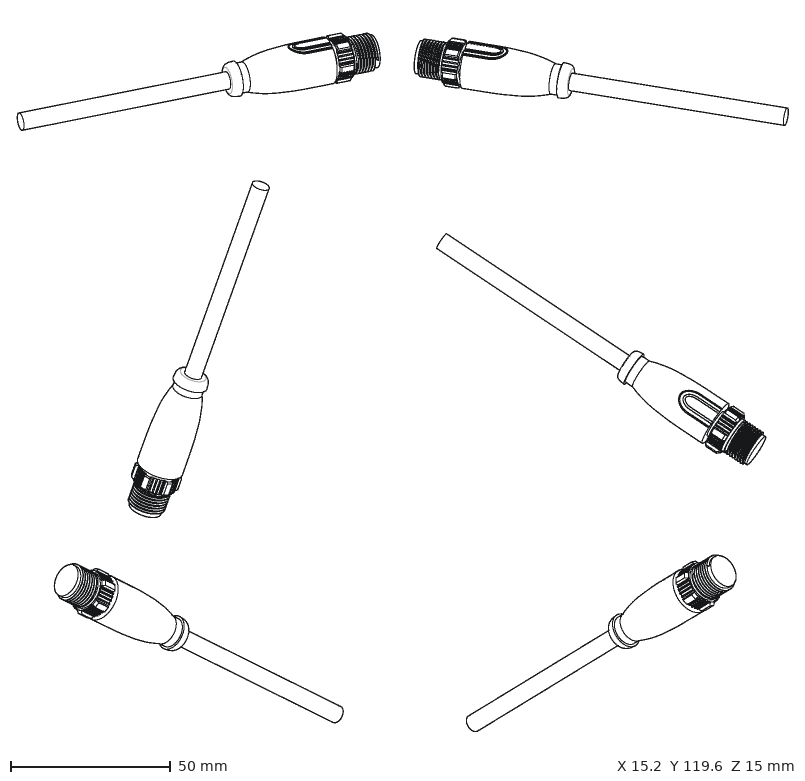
import cadquery as cq
import math


COLLAR_START = 8.2
NUT_START = 9.1
NUT_END = 14.35
BODY_START = 15.5
GROOVE_START = 43.8
FLANGE_START = 46.5
FLANGE_END = 49.6
CABLE_END = 119.6

CORE_RADIUS = 5.3
THREAD_RADIUS = 6.0
NUT_ROOT_RADIUS = 6.5
NUT_RIB_RADIUS = 6.9
NUT_LUG_RADIUS = 7.6
NECK_RADIUS = 4.6
BODY_RADIUS = 7.5
GROOVE_RADIUS = 9.7 / 2
FLANGE_RADIUS = 5.65
FLANGE_FACE_RADIUS = 4.2
CABLE_RADIUS = 5.6 / 2

TAPER_DEGREE = 4

THREAD_PITCH = 1.0
THREAD_START = 1.0
THREAD_END = 8.0
THREAD_ROOT_WIDTH = 0.7
THREAD_CREST_WIDTH = 0.2
THREAD_EMBED = 0.1

LUG_COUNT = 6
LUG_WIDTH = 2.0
RIB_WIDTH = 0.4
RIB_PITCH_ANGLE = 10.0
RIBS_PER_SECTOR = 4
NUT_FACE_RADIUS = 6.7
NUT_FRONT_CHAMFER_LENGTH = 0.8
NUT_REAR_CHAMFER = 0.45

LABEL_DEPTH = 0.3
LABEL_SHOULDER = 23.8
OUTER_GROOVE_HALF_WIDTH = 3.75
OUTER_GROOVE_TIP = 28.9
OUTER_GROOVE_WIDTH = 0.35
INNER_GROOVE_HALF_WIDTH = 2.35
INNER_GROOVE_TIP = 27.5
INNER_GROOVE_WIDTH = 0.7


def rod(start, end, radius):
    """Cylinder on the part axis between two stations."""
    return cq.Workplane("XZ", origin=(0, -start, 0)).circle(radius).extrude(end - start)


def thread_ridge():
    """Right-hand helical ridge that overlaps the core slightly."""
    base_radius = CORE_RADIUS - THREAD_EMBED
    helix = cq.Wire.makeHelix(THREAD_PITCH, THREAD_END - THREAD_START, base_radius)
    profile = (
        cq.Workplane("XZ")
        .moveTo(base_radius, -THREAD_ROOT_WIDTH / 2)
        .lineTo(THREAD_RADIUS, -THREAD_CREST_WIDTH / 2)
        .lineTo(THREAD_RADIUS, THREAD_CREST_WIDTH / 2)
        .lineTo(base_radius, THREAD_ROOT_WIDTH / 2)
        .close()
    )
    ridge = profile.sweep(cq.Workplane(obj=helix), isFrenet=True)
    return ridge.rotate((0, 0, 0), (1, 0, 0), 90).translate((0, -THREAD_START, 0))


def grip_bar(angle, width, outer_radius):
    """Axial bar on the nut, standing out to outer_radius at the given angle from +X."""
    length = NUT_END - NUT_START
    bar = cq.Workplane("XY").box(outer_radius, length, width, centered=(False, True, True))
    bar = bar.translate((0, -(NUT_START + NUT_END) / 2, 0))
    return bar.rotate((0, 0, 0), (0, 1, 0), angle)


def nut():
    """Knurled coupling nut with both end edges chamfered."""
    grip = rod(NUT_START, NUT_END, NUT_ROOT_RADIUS)
    sector = 360 / LUG_COUNT
    first_rib = sector / 2 - RIB_PITCH_ANGLE * (RIBS_PER_SECTOR - 1) / 2
    for lug in range(LUG_COUNT):
        lug_angle = lug * sector
        grip = grip.union(grip_bar(lug_angle, LUG_WIDTH, NUT_LUG_RADIUS))
        for rib in range(RIBS_PER_SECTOR):
            rib_angle = lug_angle + first_rib + rib * RIB_PITCH_ANGLE
            grip = grip.union(grip_bar(rib_angle, RIB_WIDTH, NUT_RIB_RADIUS))
    corner_radius = math.hypot(NUT_LUG_RADIUS, LUG_WIDTH / 2)
    envelope = (
        cq.Workplane("XY")
        .moveTo(0, -NUT_START)
        .lineTo(NUT_FACE_RADIUS, -NUT_START)
        .lineTo(corner_radius, -(NUT_START + NUT_FRONT_CHAMFER_LENGTH))
        .lineTo(corner_radius, -(NUT_END - NUT_REAR_CHAMFER))
        .lineTo(corner_radius - NUT_REAR_CHAMFER, -NUT_END)
        .lineTo(0, -NUT_END)
        .close()
        .revolve(360, (0, 0, 0), (0, 1, 0))
    )
    return grip.intersect(envelope)


def body():
    """Moulded grip: one smooth curve that tapers ever faster, groove and rounded cable flange."""
    step = (GROOVE_START - BODY_START) / TAPER_DEGREE
    taper = [(BODY_RADIUS, -(BODY_START + i * step)) for i in range(TAPER_DEGREE)]
    taper.append((GROOVE_RADIUS, -GROOVE_START))
    flange_round = [
        (FLANGE_RADIUS, -FLANGE_START),
        (FLANGE_RADIUS, -FLANGE_END),
        (FLANGE_FACE_RADIUS, -FLANGE_END),
    ]
    profile = (
        cq.Workplane("XY")
        .moveTo(0, -BODY_START)
        .lineTo(BODY_RADIUS, -BODY_START)
        .bezier(taper)
        .lineTo(GROOVE_RADIUS, -FLANGE_START)
        .lineTo(FLANGE_RADIUS, -FLANGE_START)
        .bezier(flange_round)
        .lineTo(0, -FLANGE_END)
        .close()
    )
    return profile.revolve(360, (0, 0, 0), (0, 1, 0))


def label_block(half_width, tip):
    """Upright block with straight sides and a half-elliptical rear end."""
    straight = LABEL_SHOULDER - BODY_START
    sides = cq.Workplane("XY").rect(2 * half_width, straight).extrude(BODY_RADIUS)
    sides = sides.translate((0, -(BODY_START + LABEL_SHOULDER) / 2, 0))
    end = cq.Workplane("XY", origin=(0, -LABEL_SHOULDER, 0))
    end = end.ellipse(half_width, tip - LABEL_SHOULDER).extrude(BODY_RADIUS)
    return sides.union(end)


def label_groove(half_width, tip, width):
    """U-shaped groove cutter whose floor is concentric with the body."""
    outer = label_block(half_width, tip)
    inner = label_block(half_width - width, tip - width)
    floor = rod(BODY_START, GROOVE_START, BODY_RADIUS - LABEL_DEPTH)
    return outer.cut(inner).cut(floor)


plug = rod(0, NUT_START, CORE_RADIUS)
plug = plug.union(thread_ridge())
plug = plug.union(rod(COLLAR_START, NUT_START, THREAD_RADIUS))
plug = plug.union(nut())
plug = plug.union(rod(NUT_END, BODY_START, NECK_RADIUS))

grip_body = body()
grip_body = grip_body.cut(label_groove(OUTER_GROOVE_HALF_WIDTH, OUTER_GROOVE_TIP, OUTER_GROOVE_WIDTH))
grip_body = grip_body.cut(label_groove(INNER_GROOVE_HALF_WIDTH, INNER_GROOVE_TIP, INNER_GROOVE_WIDTH))

result = plug.union(grip_body).union(rod(FLANGE_END, CABLE_END, CABLE_RADIUS))